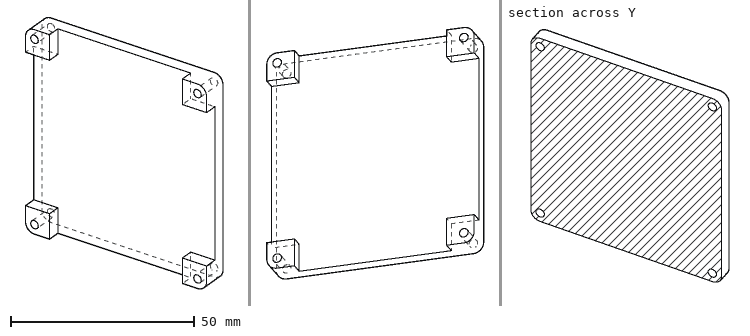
import cadquery as cq

width = 59.95
depth = 8.0
height = 64.0

plate_thickness = depth / 2
foot_side = 8.0
corner_radius = 3.0
hole_diameter = 2.5

hole_spacing_x = width - 2 * corner_radius
hole_spacing_z = height - 2 * corner_radius


def centered_box(size_x, size_z):
    """Box through the full depth, centred on the Y axis."""
    return cq.Workplane("XY").box(size_x, depth, size_z)


def feet_clearance():
    """Cross-shaped space in front of the plate that leaves the four corner feet."""
    across = centered_box(width, height - 2 * foot_side)
    upright = centered_box(width - 2 * foot_side, height)
    return across.union(upright).translate((0, -plate_thickness, 0))


body = centered_box(width, height).edges("|Y").fillet(corner_radius)
body = body.cut(feet_clearance())

holes = (
    cq.Workplane("XZ")
    .rarray(hole_spacing_x, hole_spacing_z, 2, 2)
    .circle(hole_diameter / 2)
    .extrude(depth, both=True)
)
result = body.cut(holes)